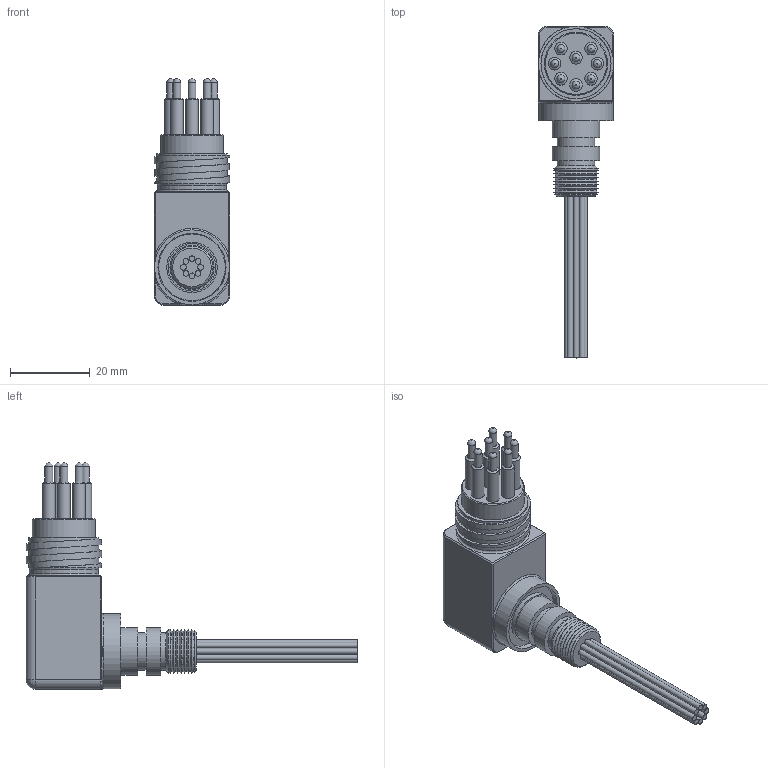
import cadquery as cq
import math

body_width = 19.05
half_width = body_width / 2
body_height = 28.575
body_corner_radius = 2.38
body_edge_break = 0.3
cable_axis_z = half_width

neck_top = 38.1
neck_diameter = 17.63
thread_crest_diameter = 18.92
thread_pitch = 3.175
thread_width = thread_pitch / 2
thread_reference_z = 31.72
thread_bottom = 30.6
thread_top = 37.7
thread_overlap = 0.2
relief_diameter = 17.4
relief_top = 30.1
neck_fillet = 0.5

base_diameter = 15.88
base_top = 42.9
base_edge_break = 0.25
pin_circle_radius = 5.36
key_pin_radius = 1.5
pin_count = 8
sleeve_diameter = 3.17
sleeve_top = 52.05
sleeve_cone_height = 0.33
contact_diameter = 1.99
contact_top = 56.95
contact_tip_radius = 0.9

flange_diameter = 18.85
flange_end = 14.29
flange_fillet = 0.4
recess_rim_diameter = 17.14
recess_floor_diameter = 16.8
recess_depth = 1.2
collar_diameter = 12.7
shoulder_diameter = 11.94
groove_diameter = 9.4
first_shoulder_end = 18.55
second_shoulder_start = 20.65
second_shoulder_end = 24.3
screw_start = 25.6
screw_end = 33.35
screw_root_diameter = 10.1
screw_crest_diameter = 11.1
screw_pitch = 0.92
screw_first_crest_start = 26.25
screw_first_crest_end = 26.7
screw_ridge_count = 6
screw_chamfer_start = 32.95
screw_chamfer_diameter = 10.6
screw_end_diameter = 9.7

wire_diameter = 1.45
wire_circle_radius = 2.15
wire_count = 8
overall_length = 83.49
wire_end = overall_length - half_width


def cylinder(diameter, bottom, top):
    """Cylinder about the Z axis between two heights."""
    return cq.Workplane("XY").workplane(offset=bottom).circle(diameter / 2).extrude(top - bottom)


def cone(bottom_diameter, top_diameter, bottom, top):
    """Truncated cone about the Z axis between two heights."""
    solid = cq.Solid.makeCone(
        bottom_diameter / 2, top_diameter / 2, top - bottom, pnt=cq.Vector(0, 0, bottom)
    )
    return cq.Workplane("XY").newObject([solid])


def disc(diameter, start, end):
    """Cylinder about the cable axis, between two distances along -Y."""
    plane = cq.Workplane("XZ", origin=(0, -start, cable_axis_z))
    return plane.circle(diameter / 2).extrude(end - start)


def fillet_collar(diameter, fillet):
    """Ring on the XY plane that blends a cylinder along +Z into the plane."""
    radius = diameter / 2
    profile = (
        cq.Workplane("XZ")
        .moveTo(0, 0)
        .lineTo(radius + fillet, 0)
        .radiusArc((radius, fillet), fillet)
        .lineTo(0, fillet)
        .close()
    )
    return profile.revolve(360, (0, 0, 0), (0, 1, 0))


def rounded_block(front_distance):
    """Body block with rounded rear and lower edges, its front face at Y = -front_distance."""
    depth = front_distance + half_width
    block = cq.Workplane("XY").box(body_width, depth, body_height, centered=(True, False, False))
    block = block.translate((0, -front_distance, 0))
    return block.edges("(|Z and >Y) or (<Z and (not <Y))").fillet(body_corner_radius)


def make_body():
    """Body with the edges of its front and top faces broken."""
    return rounded_block(half_width).faces("<Y or >Z").edges().chamfer(body_edge_break)


def make_neck():
    """Neck with a slimmer lower part, joined by a cone and blended into the body."""
    relief = cylinder(relief_diameter, body_height, relief_top)
    runout = cone(relief_diameter, neck_diameter, relief_top, thread_bottom)
    threaded_part = cylinder(neck_diameter, thread_bottom, neck_top)
    blend = fillet_collar(relief_diameter, neck_fillet).translate((0, 0, body_height))
    return relief.union(runout).union(threaded_part).union(blend)


def make_thread():
    """Square right-handed thread, trimmed flat at both ends."""
    root_radius = neck_diameter / 2 - thread_overlap
    crest_radius = thread_crest_diameter / 2
    start_z = thread_reference_z - thread_pitch
    turns = math.ceil((thread_top - start_z) / thread_pitch) + 1
    path = cq.Wire.makeHelix(thread_pitch, turns * thread_pitch, root_radius)
    profile = (
        cq.Workplane("XZ")
        .center((root_radius + crest_radius) / 2, 0)
        .rect(crest_radius - root_radius, thread_width)
    )
    thread = profile.sweep(cq.Workplane(path), isFrenet=True).translate((0, 0, start_z))
    return thread.intersect(cylinder(2 * thread_crest_diameter, thread_bottom, thread_top))


def pin_positions():
    """Pin centres clockwise from the key pin on the +Y side."""
    positions = [(0, key_pin_radius)]
    for index in range(1, pin_count):
        angle = math.pi / 2 - index * 2 * math.pi / pin_count
        positions.append((pin_circle_radius * math.cos(angle), pin_circle_radius * math.sin(angle)))
    return positions


def make_pin():
    """Insulating sleeve with a conical shoulder and a round-tipped contact, rooted in the base."""
    shoulder = sleeve_top - sleeve_cone_height
    sleeve = cylinder(sleeve_diameter, neck_top, shoulder)
    sleeve = sleeve.union(cone(sleeve_diameter, contact_diameter, shoulder, sleeve_top))
    contact = cylinder(contact_diameter, shoulder, contact_top)
    contact = contact.faces(">Z").edges().fillet(contact_tip_radius)
    return sleeve.union(contact)


def make_flange():
    """Round flange with a recessed face; its blend stays inside the body outline."""
    collar = fillet_collar(flange_diameter, flange_fillet).rotate((0, 0, 0), (1, 0, 0), 90)
    collar = collar.translate((0, -half_width, cable_axis_z))
    collar = collar.intersect(rounded_block(flange_end))
    flange = disc(flange_diameter, half_width, flange_end)
    recess = cone(recess_floor_diameter, recess_rim_diameter, 0, recess_depth)
    recess = recess.rotate((0, 0, 0), (1, 0, 0), 90)
    recess = recess.translate((0, -(flange_end - recess_depth), cable_axis_z))
    return flange.cut(recess).union(collar)


def make_screw_end():
    """Threaded end as a row of V-shaped ridges about the cable axis."""
    root = screw_root_diameter / 2
    crest = screw_crest_diameter / 2
    profile = (
        cq.Workplane("XY")
        .moveTo(0, -screw_start)
        .lineTo(groove_diameter / 2, -screw_start)
        .lineTo(crest, -screw_first_crest_start)
        .lineTo(crest, -screw_first_crest_end)
    )
    for index in range(screw_ridge_count):
        groove_start = screw_first_crest_end + index * screw_pitch
        profile = profile.lineTo(root, -(groove_start + screw_pitch / 2))
        profile = profile.lineTo(crest, -(groove_start + screw_pitch))
    last_crest = screw_first_crest_end + screw_ridge_count * screw_pitch
    profile = (
        profile.lineTo(root, -(last_crest + screw_pitch / 2))
        .lineTo(screw_chamfer_diameter / 2, -screw_chamfer_start)
        .lineTo(screw_end_diameter / 2, -screw_end)
        .lineTo(0, -screw_end)
        .close()
    )
    return profile.revolve(360, (0, 0, 0), (0, 1, 0)).translate((0, 0, cable_axis_z))


def make_cable_fitting():
    """Stepped fitting that rises from the recess floor and ends in the threaded end."""
    floor = flange_end - recess_depth
    fitting = disc(groove_diameter, floor, screw_start)
    fitting = fitting.union(disc(collar_diameter, floor, flange_end))
    fitting = fitting.union(disc(shoulder_diameter, floor, first_shoulder_end))
    fitting = fitting.union(disc(shoulder_diameter, second_shoulder_start, second_shoulder_end))
    return fitting.union(make_screw_end())


def make_wires():
    """Ring of separate wires that start at the end face of the threaded end."""
    return (
        cq.Workplane("XZ", origin=(0, -screw_end, cable_axis_z))
        .polarArray(wire_circle_radius, 0, 360, wire_count)
        .circle(wire_diameter / 2)
        .extrude(wire_end - screw_end)
    )


base = cylinder(base_diameter, neck_top, base_top).faces(">Z").edges().chamfer(base_edge_break)

result = make_body().union(make_neck()).union(make_thread()).union(base)
for x, y in pin_positions():
    result = result.union(make_pin().translate((x, y, 0)))
result = result.union(make_flange()).union(make_cable_fitting()).union(make_wires())